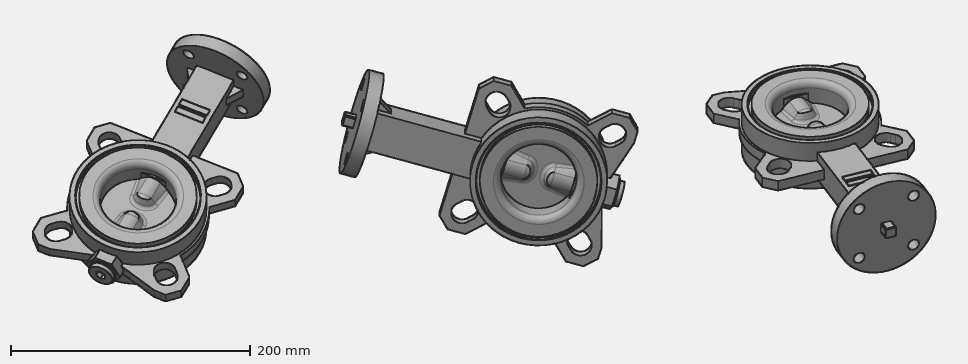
import cadquery as cq
import math


body_radius = 57.3
body_half_height = 23.2
liner_radius = 49.0
liner_half_height = 24.0
groove_radius = 52.0
groove_depth = 4.8
groove_chamfer = 0.7
bore_radius = 31.78
bore_round = 6.0

plate_thickness = 9.7
plate_disc_radius = 59.5
plate_half_width = 69.0
lug_chamfer = 10.0
lug_inner_corner = 43.7
lug_slope_start = 48.5
lug_slope_angle = 16.0
lug_slot_radius = 9.3
lug_slot_outer = 51.5
lug_slot_inner = 48.0

neck_width = 34.3
neck_height = 27.0
flange_radius = 45.0
flange_bottom = 147.7
flange_top = 160.2
flange_hole_radius = 4.95
flange_hole_offset = 24.77
gusset_reach = 26.0
gusset_length = 14.5
stem_width = 10.0
stem_top = 170.0
stem_edge_chamfer = 1.09
stem_end_chamfer = 0.7

label_width = 25.9
label_length = 6.0
label_height = 0.7
label_centers = (108.0, 99.8)

hex_across_flats = 27.0
hex_bottom = -66.2
collar_radius = 12.0
collar_bottom = -67.7
plug_radius = 10.9
plug_bottom = -71.8
socket_across_corners = 9.5
socket_depth = 4.8

disc_half_thickness = 2.5
hub_radius = 11.0
hub_flat_top = 6.3
flank_top = math.sqrt(hub_radius**2 - hub_flat_top**2)
hub_inner_end = 11.8
hub_outer_end = 32.0
hub_inner_half_width = 10.6
hub_outer_half_width = 14.0
hub_nose_base = 4.0
hub_nose_top = 8.0
hub_fillet = 3.9
seat_half_width = 11.4
seat_half_height = 12.3
seat_face = 29.7


def box(x_range, y_range, z_range):
    """Axis-aligned block between the given (low, high) limits."""
    size = [high - low for low, high in (x_range, y_range, z_range)]
    corner = (x_range[0], y_range[0], z_range[0])
    return cq.Workplane("XY").box(*size, centered=False).translate(corner)


def disc_z(radius, half_height):
    """Cylinder about Z, symmetric about the XY plane."""
    return cq.Workplane("XY").circle(radius).extrude(half_height, both=True)


def along_y(start):
    """Sketch plane across Y at `start`, extruding toward +Y."""
    return cq.Workplane(cq.Plane(origin=(0, start, 0), xDir=(1, 0, 0), normal=(0, 1, 0)))


def make_plate():
    """Four-lug plate: 45-degree cuts at the sides, sloped edges toward the plug."""
    flat_end = plate_half_width - lug_chamfer
    waist = plate_half_width - lug_inner_corner
    slope_rise = lug_slope_start * math.tan(math.radians(lug_slope_angle))
    right_side = [
        (flat_end, plate_half_width),
        (plate_half_width, flat_end),
        (plate_half_width, lug_inner_corner),
        (waist, 0),
        (plate_half_width, -lug_inner_corner),
        (plate_half_width, -flat_end),
        (flat_end, -plate_half_width),
        (lug_slope_start, -plate_half_width),
        (0, slope_rise - plate_half_width),
    ]
    left_side = [(-x, y) for x, y in reversed(right_side[:-1])]
    lugs = (
        cq.Workplane("XY")
        .polyline(right_side + left_side)
        .close()
        .extrude(plate_thickness / 2, both=True)
    )
    plate = lugs.union(disc_z(plate_disc_radius, plate_thickness / 2))
    slot_center = (lug_slot_outer + lug_slot_inner) / 2 * math.sqrt(2)
    slot_length = (lug_slot_outer - lug_slot_inner) * math.sqrt(2) + 2 * lug_slot_radius
    slots = (
        cq.Workplane("XY")
        .polarArray(slot_center, 45, 360, 4)
        .slot2D(slot_length, 2 * lug_slot_radius)
        .extrude(plate_thickness, both=True)
    )
    return plate.cut(slots)


def make_neck():
    """Rectangular neck with side gussets and raised label plates."""
    half_width = neck_width / 2
    half_height = neck_height / 2
    neck = box((-half_width, half_width), (0, flange_bottom), (-half_height, half_height))
    gussets = (
        cq.Workplane("XY")
        .polyline([
            (-gusset_reach, flange_bottom),
            (gusset_reach, flange_bottom),
            (half_width, flange_bottom - gusset_length),
            (-half_width, flange_bottom - gusset_length),
        ])
        .close()
        .extrude(plate_thickness / 2, both=True)
    )
    labels = (
        cq.Workplane("XY", origin=(0, 0, half_height))
        .pushPoints([(0, y) for y in label_centers])
        .rect(label_width, label_length)
        .extrude(label_height)
    )
    return neck.union(gussets).union(labels)


def make_flange():
    """Round actuator flange with four holes and the square stem end."""
    hole_spacing = 2 * flange_hole_offset
    flange_thickness = flange_top - flange_bottom
    flange = along_y(flange_bottom).circle(flange_radius).extrude(flange_thickness)
    holes = (
        along_y(flange_bottom)
        .rect(hole_spacing, hole_spacing, forConstruction=True)
        .vertices()
        .circle(flange_hole_radius)
        .extrude(flange_thickness)
    )
    stem = (
        along_y(flange_top)
        .rect(stem_width, stem_width)
        .extrude(stem_top - flange_top)
        .edges("|Y")
        .chamfer(stem_edge_chamfer)
        .faces(">Y")
        .chamfer(stem_end_chamfer)
    )
    return flange.cut(holes).union(stem)


def make_plug():
    """Hexagonal boss, collar and round plug with a hexagon socket."""
    hex_across_corners = hex_across_flats / math.cos(math.radians(30))
    boss = along_y(hex_bottom).polygon(6, hex_across_corners).extrude(-hex_bottom)
    collar = along_y(collar_bottom).circle(collar_radius).extrude(-collar_bottom)
    plug = along_y(plug_bottom).circle(plug_radius).extrude(-plug_bottom)
    socket = (
        along_y(plug_bottom)
        .transformed(rotate=(0, 0, 30))
        .polygon(6, socket_across_corners)
        .extrude(socket_depth)
    )
    return boss.union(collar).union(plug).cut(socket)


def make_liner_groove():
    """Ring groove around the liner at the top face of the body."""
    floor = body_half_height - groove_depth
    return (
        cq.Workplane("XZ")
        .polyline([
            (liner_radius, floor),
            (groove_radius, floor),
            (groove_radius, body_half_height - groove_chamfer),
            (groove_radius + groove_chamfer, body_half_height),
            (liner_radius, body_half_height),
        ])
        .close()
        .revolve(360, (0, 0, 0), (0, 1, 0))
    )


def make_bore():
    """Through bore with a rounded mouth at both liner faces."""
    mouth_radius = bore_radius + bore_round
    round_start = liner_half_height - bore_round
    round_offset = bore_round * (1 - math.sqrt(0.5))
    middle = (bore_radius + round_offset, liner_half_height - round_offset)
    return (
        cq.Workplane("XZ")
        .moveTo(0, -liner_half_height)
        .lineTo(mouth_radius, -liner_half_height)
        .threePointArc((middle[0], -middle[1]), (bore_radius, -round_start))
        .lineTo(bore_radius, round_start)
        .threePointArc(middle, (mouth_radius, liner_half_height))
        .lineTo(0, liner_half_height)
        .close()
        .revolve(360, (0, 0, 0), (0, 1, 0))
    )


def hub_section(workplane, foot_half_width):
    """Hub cross-section: round crown, sloped flanks and fillets running out onto the disc."""
    slope_angle = math.atan2(flank_top - disc_half_thickness, foot_half_width - hub_flat_top)
    tangent_length = hub_fillet * math.tan(slope_angle / 2)
    fillet_end_x = foot_half_width + tangent_length
    fillet_start_x = foot_half_width - tangent_length * math.cos(slope_angle)
    fillet_start_z = disc_half_thickness + tangent_length * math.sin(slope_angle)
    fillet_mid_x = fillet_end_x - hub_fillet * math.sin(slope_angle / 2)
    fillet_mid_z = disc_half_thickness + hub_fillet * (1 - math.cos(slope_angle / 2))
    return (
        workplane.moveTo(-fillet_end_x, 0)
        .lineTo(fillet_end_x, 0)
        .lineTo(fillet_end_x, disc_half_thickness)
        .threePointArc((fillet_mid_x, fillet_mid_z), (fillet_start_x, fillet_start_z))
        .lineTo(hub_flat_top, flank_top)
        .threePointArc((0, hub_radius), (-hub_flat_top, flank_top))
        .lineTo(-fillet_start_x, fillet_start_z)
        .threePointArc((-fillet_mid_x, fillet_mid_z), (-fillet_end_x, disc_half_thickness))
        .close()
    )


def make_hub_barrel():
    """Straight part of the upper hub at +Y, widening toward the bore wall."""
    inner_plane = cq.Workplane("XZ", origin=(0, hub_inner_end, 0))
    inner_section = hub_section(inner_plane, hub_inner_half_width)
    outer_plane = inner_section.workplane(offset=hub_inner_end - hub_outer_end)
    return hub_section(outer_plane, hub_outer_half_width).loft(ruled=True)


def make_hub_nose():
    """Rounded inner end of the upper hub at +Y: a tapered oval trimmed by a ball."""
    height = hub_radius - disc_half_thickness
    flank_lean = (hub_inner_half_width - hub_flat_top) / (flank_top - disc_half_thickness)
    top_half_width = hub_inner_half_width - flank_lean * height
    oval = (
        cq.Workplane("XY", origin=(0, hub_inner_end, disc_half_thickness))
        .ellipse(hub_inner_half_width, hub_inner_end - hub_nose_base)
        .workplane(offset=height)
        .ellipse(top_half_width, hub_inner_end - hub_nose_top)
        .loft(ruled=True)
    )
    ball = cq.Workplane("XY").sphere(hub_radius).translate((0, hub_inner_end, 0))
    return oval.intersect(ball)


def on_four_hubs(shape):
    """Copy an upper +Y hub feature to both ends and both sides of the disc."""
    upper = shape.union(shape.mirror("XZ"))
    return upper.union(upper.mirror("XY"))


def make_disc():
    """Closed valve disc filling the bore, with blended hubs and their flat seats."""
    box_margin = disc_half_thickness / 10
    blank = disc_z(bore_radius + bore_round, disc_half_thickness)
    disc = blank.union(on_four_hubs(make_hub_nose()))
    for z_face in (disc_half_thickness, -disc_half_thickness):
        nose_feet = cq.selectors.BoxSelector(
            (-hub_outer_end, -hub_outer_end, z_face - box_margin),
            (hub_outer_end, hub_outer_end, z_face + box_margin),
            boundingbox=True,
        )
        disc = disc.edges(nose_feet).fillet(hub_fillet)
    disc = disc.union(on_four_hubs(make_hub_barrel()))
    disc = disc.intersect(disc_z(bore_radius, liner_half_height))
    seat = box(
        (-seat_half_width, seat_half_width),
        (seat_face, bore_radius + bore_round),
        (-seat_half_height, seat_half_height),
    )
    return disc.union(seat).union(seat.mirror("XZ"))


body = disc_z(body_radius, body_half_height)
for feature in (make_plate(), make_neck(), make_flange(), make_plug()):
    body = body.union(feature)
body = body.union(disc_z(liner_radius, liner_half_height))
groove = make_liner_groove()
body = body.cut(groove).cut(groove.mirror("XY"))
result = body.cut(make_bore()).union(make_disc())